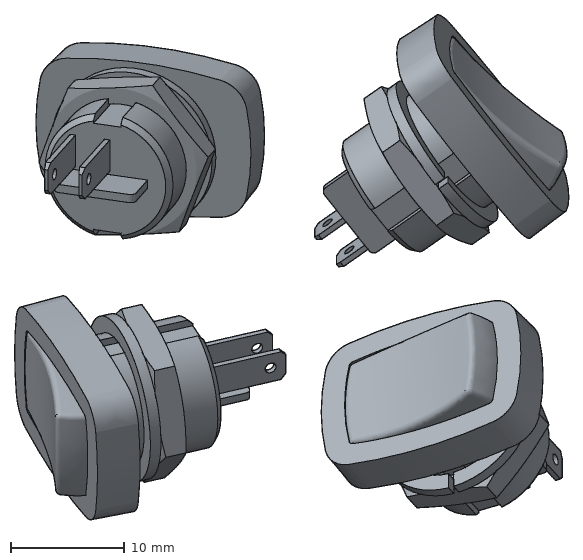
import cadquery as cq
import math


bezel_length = 20.2
bezel_height = 14.4
bezel_corner_x = 9.19
bezel_corner_z = 6.25
bezel_corner_radius = 2.99
bezel_thickness = 4.0
bezel_draft = 2.0

barrel_radius = 6.0
barrel_length = 9.5
barrel_chamfer = 0.5
keyway_width = 2.57
keyway_floor_z = 5.12

washer_start = 2.0
washer_radius = 7.5
washer_thickness = 1.0
washer_slit_width = 0.5
washer_slit_x = 0.14
nut_sides = 6
nut_across_flats = 14.0
nut_thickness = 2.5
nut_turn = 10.2
nut_bevel_angle = 15.0
nut_bore_radius = barrel_radius - barrel_chamfer
nut_start = washer_start + washer_thickness

terminal_thickness = 0.5
terminal_width = 3.0
terminal_length = 7.0
terminal_xs = (-3.22, 0.0)
terminal_z = 2.23
terminal_tip_length = 0.5
terminal_tip_chamfer = 0.5
terminal_tip_taper = 0.1
terminal_hole_diameter = 1.0
terminal_hole_from_tip = 1.5
plate_width = 7.6
plate_thickness = 0.78
plate_length = 3.55
plate_corner_radius = 0.5

pivot_depth = 2.0
rocker_reach = 7.88
rocker_half_width = 4.98
rocker_corner_reach = 7.37
rocker_corner_z = 4.35
rocker_edge_radius = 0.5
rocker_tilt = 10.2
dish_radius = 36.98
dish_height = 2.66
pivot_y = bezel_thickness - pivot_depth


def rear_plane(distance):
    """Plane facing -Y, at a distance behind the rear face of the bezel."""
    return cq.Workplane("XZ", origin=(0, -distance, 0))


def bulged_outline(mid_x, mid_z, corner_x, corner_z, corner_radius):
    """Rectangle-like outline whose four sides are arcs, with rounded corners."""
    return (
        cq.Sketch()
        .arc((corner_x, -corner_z), (mid_x, 0), (corner_x, corner_z))
        .arc((corner_x, corner_z), (0, mid_z), (-corner_x, corner_z))
        .arc((-corner_x, corner_z), (-mid_x, 0), (-corner_x, -corner_z))
        .arc((-corner_x, -corner_z), (0, -mid_z), (corner_x, -corner_z))
        .assemble()
        .vertices()
        .fillet(corner_radius)
        .reset()
    )


def make_rocker_blank():
    """Half disc swept by the rocker outline about the pivot axis, on the +Y side of the pivot."""
    outline = bulged_outline(
        rocker_reach, rocker_half_width, rocker_corner_reach, rocker_corner_z, rocker_edge_radius
    )
    half_outline = outline.push([(rocker_reach, 0)]).rect(2 * rocker_reach, 2 * rocker_reach, mode="i")
    return rear_plane(-pivot_y).placeSketch(half_outline).revolve(180, (0, 0), (0, 1))


def make_rocker():
    """Rocker blank with a tilted cylindrical dish in its top and rounded top edges."""
    dish_distance = dish_radius + dish_height
    tilt = math.radians(rocker_tilt)
    dish = (
        cq.Workplane("XY", origin=(0, pivot_y, 0))
        .center(dish_distance * math.sin(tilt), dish_distance * math.cos(tilt))
        .circle(dish_radius)
        .extrude(rocker_half_width, both=True)
    )
    return make_rocker_blank().cut(dish).faces("%CYLINDER").edges().fillet(rocker_edge_radius)


def make_bezel():
    """Drafted bezel with a pocket that matches the rocker."""
    outline = bulged_outline(
        bezel_length / 2, bezel_height / 2, bezel_corner_x, bezel_corner_z, bezel_corner_radius
    )
    bezel = rear_plane(0).placeSketch(outline).extrude(-bezel_thickness, taper=bezel_draft)
    return bezel.cut(make_rocker_blank())


def make_barrel():
    """Round barrel with a neck under the nut and two flat-floored keyways along its length."""
    barrel = (
        rear_plane(0)
        .circle(barrel_radius)
        .extrude(barrel_length)
        .faces("<Y")
        .chamfer(barrel_chamfer)
    )
    neck_relief = (
        rear_plane(nut_start).circle(barrel_radius).circle(nut_bore_radius).extrude(nut_thickness)
    )
    keyway_depth = barrel_radius - keyway_floor_z
    keyway_middle_z = keyway_floor_z + keyway_depth / 2
    keyways = (
        rear_plane(0)
        .pushPoints([(0, keyway_middle_z), (0, -keyway_middle_z)])
        .rect(keyway_width, keyway_depth)
        .extrude(barrel_length)
    )
    return barrel.cut(neck_relief).cut(keyways)


def make_terminal(x):
    """Flat blade terminal with a tapered tip and a cross hole."""
    blade_length = terminal_length - terminal_tip_length
    blade = (
        rear_plane(barrel_length)
        .center(x, terminal_z)
        .rect(terminal_thickness, terminal_width)
        .extrude(blade_length)
    )
    tip = (
        rear_plane(barrel_length + blade_length)
        .center(x, terminal_z)
        .rect(terminal_thickness, terminal_width)
        .workplane(offset=terminal_tip_length)
        .rect(terminal_thickness - 2 * terminal_tip_taper, terminal_width - 2 * terminal_tip_chamfer)
        .loft(ruled=True)
    )
    hole_y = terminal_hole_from_tip - barrel_length - terminal_length
    hole = (
        cq.Workplane("YZ", origin=(x, hole_y, terminal_z))
        .circle(terminal_hole_diameter / 2)
        .extrude(terminal_thickness, both=True)
    )
    return blade.union(tip).cut(hole)


def make_plate():
    """Divider plate with rounded outer corners."""
    return (
        rear_plane(barrel_length)
        .rect(plate_width, plate_thickness)
        .extrude(plate_length)
        .edges("<Y and |Z")
        .fillet(plate_corner_radius)
    )


def make_housing():
    """Bezel, barrel, divider plate and terminals as one solid."""
    housing = make_bezel().union(make_barrel()).union(make_plate())
    for x in terminal_xs:
        housing = housing.union(make_terminal(x))
    return housing


def make_washer():
    """Flat ring split by a slit at the bottom."""
    ring = rear_plane(washer_start).circle(washer_radius).circle(barrel_radius).extrude(washer_thickness)
    slit = (
        rear_plane(washer_start)
        .center(washer_slit_x, -washer_radius / 2)
        .rect(washer_slit_width, washer_radius)
        .extrude(washer_thickness)
    )
    return ring.cut(slit)


def make_nut():
    """Hex nut with bevelled corners on both faces."""
    flat_radius = nut_across_flats / 2
    corner_radius = flat_radius / math.cos(math.pi / nut_sides)
    bevel_height = (corner_radius - flat_radius) * math.tan(math.radians(nut_bevel_angle))
    hexagon = (
        rear_plane(nut_start)
        .transformed(rotate=(0, 0, nut_turn))
        .polygon(nut_sides, 2 * corner_radius)
        .extrude(nut_thickness)
    )
    nut_end = nut_start + nut_thickness
    bevelled_ring = (
        cq.Workplane("XY")
        .moveTo(nut_bore_radius, -nut_start)
        .lineTo(flat_radius, -nut_start)
        .lineTo(corner_radius, -nut_start - bevel_height)
        .lineTo(corner_radius, -nut_end + bevel_height)
        .lineTo(flat_radius, -nut_end)
        .lineTo(nut_bore_radius, -nut_end)
        .close()
        .revolve(360, (0, 0), (0, 1))
    )
    return hexagon.intersect(bevelled_ring)


housing = make_housing()
rocker = make_rocker()
washer = make_washer()
nut = make_nut()

result = cq.Compound.makeCompound([body.solids().val() for body in (housing, rocker, washer, nut)])